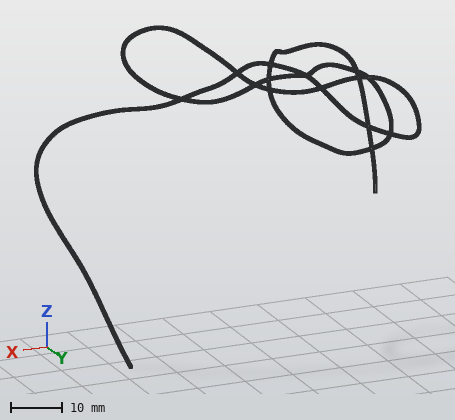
import cadquery as cq

thread_diameter = 0.5

short_end = [
    (16.3, 52.5, 48.6),
    (15.7, 51.1, 51.35),
    (14.8, 46.8, 57.6),
    (14.2, 42.3, 63.8),
    (13.8, 37.7, 68.5),
]

first_bend = [
    (14.25, 34.7, 70.4),
    (15.8, 32.4, 71.6),
    (18.7, 29.7, 71.9),
    (22.2, 29.1, 71.4),
    (25.7, 29.95, 71.35),
    (28.0, 32.3, 72.7),
    (30.35, 35.4, 72.75),
    (31.8, 37.35, 71.3),
    (32.75, 39.05, 68.7),
    (32.5, 40.5, 65.6),
]

first_loop = [
    (30.8, 42.0, 62.25),
    (28.0, 43.6, 59.4),
    (23.35, 45.05, 56.65),
    (19.1, 45.4, 54.7),
    (16.35, 45.1, 54.55),
    (11.7, 43.65, 54.7),
    (9.3, 42.2, 55.0),
    (7.5, 40.0, 56.0),
    (6.5, 37.6, 57.7),
    (6.5, 34.5, 60.4),
    (7.2, 32.6, 62.5),
    (8.95, 30.65, 64.6),
    (11.7, 29.6, 65.8),
    (15.6, 29.0, 67.1),
    (18.7, 29.7, 67.0),
    (21.0, 31.2, 66.5),
    (23.35, 32.7, 67.15),
    (28.0, 35.0, 68.3),
    (32.7, 36.6, 68.6),
]

second_loop = [
    (37.35, 37.0, 67.2),
    (42.0, 36.4, 65.8),
    (44.35, 36.4, 65.8),
    (49.0, 35.7, 66.75),
    (53.7, 34.3, 68.55),
    (56.4, 32.9, 70.35),
    (58.35, 30.9, 72.4),
    (58.7, 28.2, 74.55),
    (57.2, 25.8, 76.25),
    (53.7, 24.0, 77.35),
    (50.2, 23.3, 77.6),
    (46.7, 23.7, 76.95),
    (42.0, 26.3, 74.1),
    (37.35, 30.1, 70.3),
    (35.0, 33.3, 68.1),
    (32.7, 35.8, 67.0),
    (30.35, 36.65, 66.3),
    (25.7, 36.8, 65.35),
]

third_loop = [
    (21.0, 35.7, 65.05),
    (14.8, 34.55, 65.6),
    (10.9, 34.1, 65.5),
    (6.2, 33.6, 64.2),
    (3.1, 33.6, 62.2),
    (1.2, 34.1, 60.1),
    (0.2, 35.5, 57.6),
    (0.6, 37.65, 55.95),
    (1.9, 40.2, 54.9),
    (3.1, 41.5, 54.8),
    (6.2, 43.5, 55.6),
    (9.3, 43.65, 56.8),
    (12.45, 42.7, 58.05),
    (15.6, 41.0, 59.75),
    (18.7, 39.05, 62.95),
    (21.0, 37.6, 65.75),
    (23.35, 36.5, 68.1),
    (25.7, 35.8, 69.4),
    (28.0, 35.0, 70.3),
]

long_tail = [
    (30.35, 34.1, 70.9),
    (33.1, 33.3, 71.1),
    (37.35, 34.1, 70.0),
    (42.0, 35.9, 68.9),
    (46.7, 36.95, 68.4),
    (51.35, 38.05, 67.7),
    (56.0, 38.05, 67.0),
    (62.25, 36.4, 66.75),
    (68.5, 34.0, 65.4),
    (73.0, 31.4, 63.0),
    (75.1, 28.5, 59.3),
    (75.5, 26.1, 56.0),
    (75.25, 24.3, 52.9),
    (73.2, 21.3, 46.7),
    (68.8, 17.3, 38.9),
    (63.5, 13.85, 31.1),
    (60.3, 11.7, 26.45),
    (53.85, 6.9, 15.6),
    (44.9, 0.2, 0.15),
]

centreline_points = short_end + first_bend + first_loop + second_loop + third_loop + long_tail
centreline_curve = cq.Edge.makeSpline([cq.Vector(*point) for point in centreline_points])

piece_count = 12
curve_start, curve_end = centreline_curve.bounds()
piece_span = (curve_end - curve_start) / piece_count
pieces = [
    centreline_curve.trim(curve_start + i * piece_span, curve_start + (i + 1) * piece_span)
    for i in range(piece_count)
]
centreline = cq.Workplane(cq.Wire.assembleEdges(pieces))

start_plane = cq.Plane(
    origin=centreline_points[0],
    normal=centreline_curve.tangentAt(0),
)
result = cq.Workplane(start_plane).circle(thread_diameter / 2).sweep(centreline)